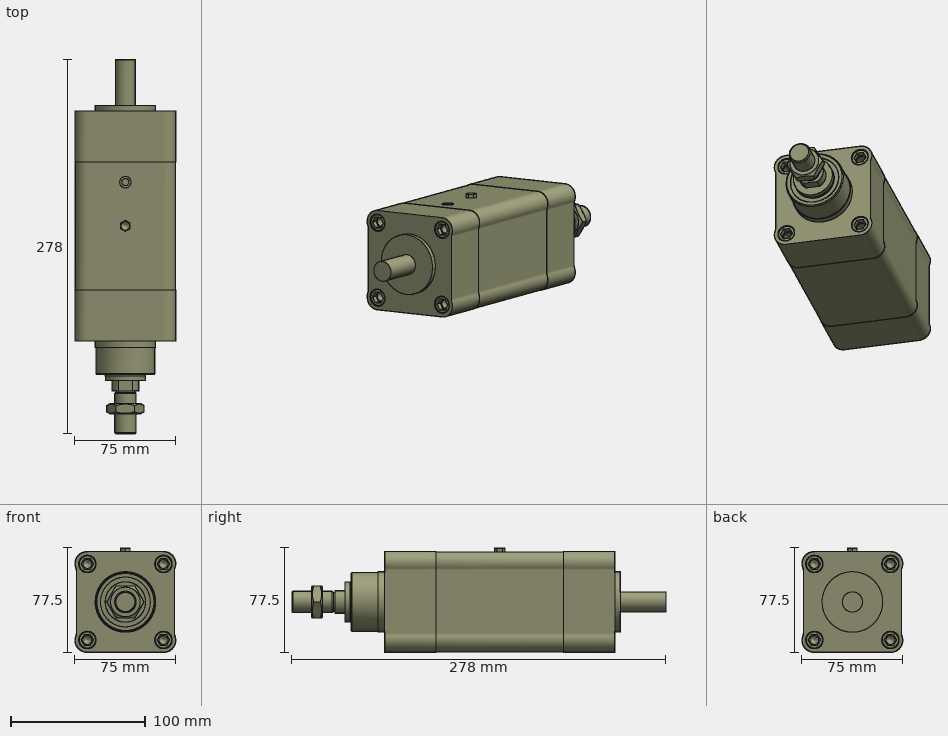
import cadquery as cq
import math


cap_width = 75.0
cap_length = 38.0
barrel_inset = 0.25
barrel_top = cap_width / 2 - barrel_inset
housing_length = 171.0
corner_radius = 9.0
side_inset = 1.0
blend_radius = 4.0

collar_diameter = 45.0
front_collar_length = 5.0
nose_diameter = 44.0
nose_end = 25.0
nose_chamfer = 0.8
rear_collar_length = 4.0

wiper_recess_diameter = 37.0
wiper_recess_depth = 1.0

fixing_pitch = 56.5
fixing_countersink_diameter = 13.0
fixing_countersink_floor_diameter = 12.0
fixing_countersink_depth = 0.5
socket_across_flats = 8.0
socket_depth = 5.0
fixing_hole_diameter = 6.65
fixing_hole_depth = 20.0
drill_tip_angle = 118.0

port_y = 118.0
port_recess_diameter = 8.5
port_recess_depth = 0.2
port_hole_diameter = 5.3
port_hole_depth = 2.5
nipple_y = 85.5
nipple_across_flats = 7.0
nipple_height = 2.5
nipple_dish_diameter = 6.5
nipple_dish_depth = 1.8
nipple_stem_diameter = 5.3
nipple_stem_length = 6.0

rod_diameter = 30.0
rod_head_diameter = 29.9
rod_head_start = 25.8
rod_end = 29.5
rod_insertion = 30.0
neck_diameter = 20.0
neck_across_flats = 17.0
neck_length = 7.5
undercut_diameter = 14.2
undercut_length = 2.0
thread_diameter = 16.0
thread_tip = 69.0
thread_chamfer = (thread_diameter - undercut_diameter) / 2

nut_across_flats = 24.0
nut_height = 8.0
nut_front = 54.25
nut_face_diameter = 22.0
nut_chamfer_angle = 30.0

shaft_diameter = 15.0
shaft_length = 34.0
shaft_insertion = 30.0


def cylinder_y(diameter, y_start, y_end):
    """Cylinder on the Y axis from y_start to y_end."""
    base = cq.Vector(0, y_start, 0)
    axis = cq.Vector(0, y_end - y_start, 0)
    return cq.Workplane(cq.Solid.makeCylinder(diameter / 2, axis.Length, base, axis))


def hexagon_corners(across_flats):
    """Distance across the corners of a hexagon."""
    return across_flats / math.cos(math.pi / 6)


def cone_tip_length(diameter):
    """Depth of the conical end that a drill leaves."""
    return diameter / 2 / math.tan(math.radians(drill_tip_angle / 2))


def rail_block(inset, y_start, y_end):
    """Square block with a bulging rounded rail along each corner, shrunk by inset on all sides.

    One quarter is drawn and mirrored; each rail runs through a concave blend into the side face.
    """
    half = cap_width / 2 - inset
    side = half - side_inset
    rail_centre = cap_width / 2 - corner_radius
    rail_radius = corner_radius - inset
    reach = rail_radius + blend_radius
    blend_x = side + blend_radius
    blend_angle = math.acos((blend_x - rail_centre) / reach)
    blend_z = rail_centre - reach * math.sin(blend_angle)

    def on_rail(angle):
        return (rail_centre + rail_radius * math.cos(angle), rail_centre + rail_radius * math.sin(angle))

    def on_blend(angle):
        return (blend_x + blend_radius * math.cos(angle), blend_z + blend_radius * math.sin(angle))

    quarter = (
        cq.Workplane("XZ", origin=(0, y_start, 0))
        .lineTo(0, half)
        .lineTo(rail_centre, half)
        .threePointArc(on_rail(math.pi / 4), on_rail(-blend_angle))
        .threePointArc(on_blend(math.pi - blend_angle / 2), (side, blend_z))
        .lineTo(side, 0)
        .close()
        .extrude(y_start - y_end)
    )
    upper_half = quarter.union(quarter.mirror("YZ"))
    return upper_half.union(upper_half.mirror("XY"))


def fixing_hole(x, z, face_y, inward):
    """Cutter for one fixing point; inward (1 or -1) is the drilling direction along Y."""
    radius = fixing_hole_diameter / 2
    hole = (
        cq.Workplane("XY")
        .polyline([
            (0, 0),
            (fixing_countersink_diameter / 2, 0),
            (fixing_countersink_floor_diameter / 2, fixing_countersink_depth),
            (radius, fixing_countersink_depth),
            (radius, fixing_hole_depth),
            (0, fixing_hole_depth + cone_tip_length(fixing_hole_diameter)),
        ])
        .close()
        .revolve(360, (0, 0, 0), (0, 1, 0))
    )
    socket = cq.Workplane("XZ").polygon(6, hexagon_corners(socket_across_flats)).extrude(-socket_depth)
    turn = 0 if inward > 0 else 180
    return hole.union(socket).rotate((0, 0, 0), (0, 0, 1), turn).translate((x, face_y, z))


def rod_outline():
    """Half section of the piston rod from the inner end to the thread tip."""
    neck_end = rod_end + neck_length
    thread_start = neck_end + undercut_length
    return [
        (0, rod_insertion),
        (rod_diameter / 2, rod_insertion),
        (rod_diameter / 2, -rod_head_start),
        (rod_head_diameter / 2, -rod_head_start),
        (rod_head_diameter / 2, -rod_end),
        (neck_diameter / 2, -rod_end),
        (neck_diameter / 2, -neck_end),
        (undercut_diameter / 2, -neck_end),
        (undercut_diameter / 2, -thread_start + thread_chamfer),
        (thread_diameter / 2, -thread_start),
        (thread_diameter / 2, -thread_tip + thread_chamfer),
        (undercut_diameter / 2, -thread_tip),
        (0, -thread_tip),
    ]


def make_piston_rod():
    rod = cq.Workplane("XY").polyline(rod_outline()).close().revolve(360, (0, 0, 0), (0, 1, 0))
    flat_depth = (neck_diameter - neck_across_flats) / 2
    for side in (1, -1):
        flat_centre = (0, -rod_end - neck_length / 2, side * (neck_across_flats + flat_depth) / 2)
        rod = rod.cut(cq.Workplane("XY").box(neck_diameter, neck_length, flat_depth).translate(flat_centre))
    return rod


def make_nut():
    corners = hexagon_corners(nut_across_flats)
    chamfer_run = (corners - nut_face_diameter) / 2
    chamfer_rise = chamfer_run * math.tan(math.radians(nut_chamfer_angle))
    rounding = (
        cq.Workplane("XY")
        .polyline([
            (0, 0),
            (nut_face_diameter / 2, 0),
            (corners / 2, chamfer_rise),
            (corners / 2, nut_height - chamfer_rise),
            (nut_face_diameter / 2, nut_height),
            (0, nut_height),
        ])
        .close()
        .revolve(360, (0, 0, 0), (0, 1, 0))
    )
    nut = cq.Workplane("XZ").polygon(6, corners).circle(thread_diameter / 2).extrude(-nut_height)
    return nut.intersect(rounding).translate((0, -nut_front, 0))


def make_shaft():
    inner_end = housing_length - shaft_insertion
    outer_end = housing_length + rear_collar_length + shaft_length
    return cylinder_y(shaft_diameter, inner_end, outer_end)


def make_nipple():
    """Hexagon with a conical filling dish, on a round stem sunk into the housing."""
    top = cap_width / 2 + nipple_height
    barrel_face = cq.Workplane("XY", origin=(0, 0, barrel_top))
    hexagon = barrel_face.polygon(6, hexagon_corners(nipple_across_flats)).extrude(top - barrel_top)
    hexagon = hexagon.rotate((0, 0, 0), (0, 0, 1), 90)
    stem = barrel_face.circle(nipple_stem_diameter / 2).extrude(-nipple_stem_length)
    dish_bottom = cq.Vector(0, 0, top - nipple_dish_depth)
    dish = cq.Solid.makeCone(0, nipple_dish_diameter / 2, nipple_dish_depth, dish_bottom)
    return hexagon.union(stem).cut(cq.Workplane(dish)).translate((0, nipple_y, 0))


def make_housing():
    housing = rail_block(0, 0, cap_length)
    housing = housing.union(rail_block(barrel_inset, cap_length, housing_length - cap_length))
    housing = housing.union(rail_block(0, housing_length - cap_length, housing_length))
    nose = cylinder_y(nose_diameter, 0, -nose_end).faces("<Y").chamfer(nose_chamfer)
    housing = housing.union(nose)
    housing = housing.union(cylinder_y(collar_diameter, 0, -front_collar_length))
    rear_end = housing_length + rear_collar_length
    housing = housing.union(cylinder_y(collar_diameter, housing_length, rear_end))

    housing = housing.cut(cylinder_y(wiper_recess_diameter, -nose_end, -nose_end + wiper_recess_depth))
    housing = housing.cut(cylinder_y(rod_diameter, -nose_end, rod_insertion))
    housing = housing.cut(cylinder_y(shaft_diameter, housing_length - shaft_insertion, rear_end))

    for x in (-fixing_pitch / 2, fixing_pitch / 2):
        for z in (-fixing_pitch / 2, fixing_pitch / 2):
            housing = housing.cut(fixing_hole(x, z, 0, 1))
            housing = housing.cut(fixing_hole(x, z, housing_length, -1))

    top = cq.Workplane("XY", origin=(0, 0, barrel_top))
    port = top.center(0, port_y)
    housing = housing.cut(port.circle(port_recess_diameter / 2).extrude(-port_recess_depth))
    housing = housing.cut(port.circle(port_hole_diameter / 2).extrude(-port_hole_depth))
    stem_hole = top.center(0, nipple_y).circle(nipple_stem_diameter / 2)
    return housing.cut(stem_hole.extrude(-nipple_stem_length))


housing = make_housing()
piston_rod = make_piston_rod()
lock_nut = make_nut()
drive_shaft = make_shaft()
lubrication_nipple = make_nipple()

result = cq.Compound.makeCompound([
    housing.val(),
    piston_rod.val(),
    lock_nut.val(),
    drive_shaft.val(),
    lubrication_nipple.val(),
])